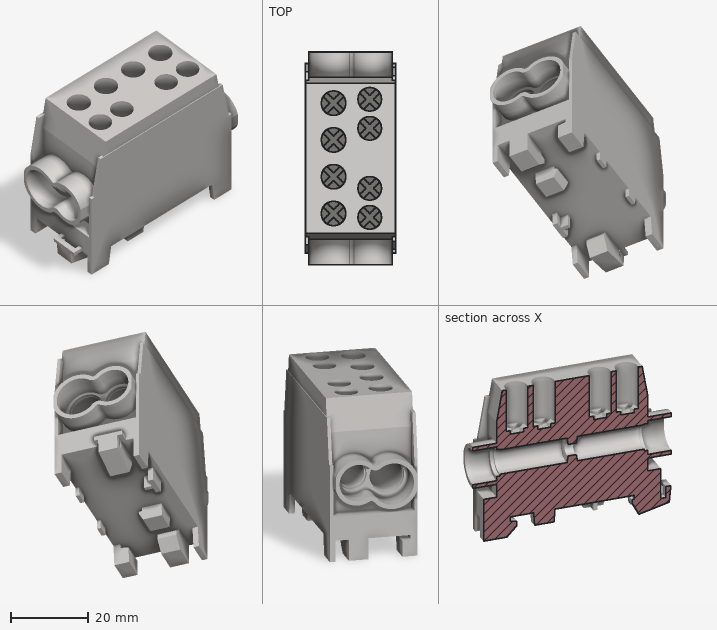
import cadquery as cq
import math

WIDTH = 23.4
HEIGHT = 42.85
LENGTH = 49.0
SLEEVE_LENGTH = 55.0
PLATE_T = 0.9
INNER_HALF = WIDTH / 2 - PLATE_T
END_Y = LENGTH / 2
TILT = math.radians(10)
BELLY_Z = 5.7

COVER_WIDTH = 23.0
CORE_Y = 20.95
CORE_BEND_Z = 34.0
CORE_TOP_Y = CORE_Y - (HEIGHT - CORE_BEND_Z) * math.tan(TILT)
RECESS_FLOOR_Z = 12.25

PLATE_TOP_Z = 38.15
PLATE_BEND_Z = 26.15
PLATE_LEAN = (PLATE_TOP_Z - PLATE_BEND_Z) * math.tan(TILT)
LEDGE = 1.0

FOOT_TOP_Y = 17.65
FOOT_BOTTOM_Y = 18.4
LEFT_FOOT_X = -9.8
RIGHT_FOOT_X = 10.2
RIB_X = -7.6
RIB_OUTER_Z = 4.6
RIB_INNER_Z = 4.3

HOOK_ROOT_Y = 17.0
HOOK_NOSE_Y = 15.3
HOOK_TOE_Y = 18.1
HOOK_ROOT_Z = 4.6
HOOK_NOSE_TOP_Z = 4.2
HOOK_NOSE_BOTTOM_Z = 2.85

BIG_X = -4.38
SMALL_X = 4.97
BIG_SLEEVE_Z = 20.85
SMALL_SLEEVE_Z = 21.85
BIG_SLEEVE_R = 6.77
SMALL_SLEEVE_R = 6.1
SLEEVE_WALL = 1.2
SLEEVE_FILLET = 0.9
BIG_BORE_Z = 21.2
SMALL_BORE_Z = 22.2
BIG_BORE_R = 2.7
SMALL_BORE_R = 1.8
BIG_SOCKET_R = 4.45
SMALL_SOCKET_R = 3.57
BIG_MOUTH_R = 4.6
SMALL_MOUTH_R = 3.9
MOUTH_DROP = 0.15
MOUTH_DEPTH = 1.0
SOCKET_END_Y = 1.5
TIP_SLOPE = math.radians(10)

BIG_SCREW_PITCH = 9.5
BIG_SCREW_YS = [BIG_SCREW_PITCH * step for step in (-1.5, -0.5, 0.5, 1.5)]
SMALL_SCREW_YS = [-15.25, -7.75, 7.75, 15.25]
BIG_SCREW_R = 3.15
SMALL_SCREW_R = 3.05
SCREW_HOLE_DEPTH = 12.0
SLOT_WIDTH = 1.4
SLOT_DEPTH = 1.0

SNAP_ROOT_Z = 4.75
SNAP_NOSE_Z = 4.6
LATCH_X0 = 1.4
LATCH_X1 = 6.65
LATCH_TIP_Y = 16.5
LATCH_ROOT_Y = 17.1
HANDLE_X0 = 0.3
HANDLE_X1 = 8.0
HANDLE_Y = 27.35
HANDLE_FOOT_Y = 26.9
HANDLE_T = 1.5
HANDLE_TOP_Z = 6.8
HANDLE_FOOT_Z = 2.0
HANDLE_ARM_W = 1.1
LATCH_FLOOR_Z = 3.6

LUG_Y = 7.7
LUG_HALF = 3.0
LUG_Z = 2.05
LUG_TAPER = 0.25
TAB_HALF = 1.8
TAB_Z = 3.25
TAB_T = 1.0
TAB_TAPER = 0.15
BARB_X = 0.3
BARB_STEM_X = 1.2
BARB_NOSE_BOTTOM_Z = 4.1
GUIDE_X = 8.8
GUIDE_RIB_T = 1.1
GUIDE_RIB_Y = 7.35
OVERLAP = 0.5


def extrude_x(points, x0, x1):
    """Prism of a (Y, Z) outline between two X positions."""
    return cq.Workplane("YZ").workplane(offset=x0).polyline(points).close().extrude(x1 - x0)


def block(x0, x1, y0, y1, z0, z1):
    """Axis-aligned box between its limits."""
    return cq.Workplane("XY").box(x1 - x0, y1 - y0, z1 - z0, centered=False).translate((x0, y0, z0))


def mirror_points(points):
    """Close a +Y half outline with its -Y mirror image."""
    return points + [(-y, z) for y, z in reversed(points)]


def cylinder_y(x, z, radius, y0, y1):
    """Cylinder along Y."""
    return cq.Workplane("XZ", origin=(x, y0, z)).circle(radius).extrude(y0 - y1)


def core():
    """Body between the side plates, with its leaning top and the cover above the plates."""
    upper = mirror_points([(CORE_Y, BELLY_Z), (CORE_Y, CORE_BEND_Z), (CORE_TOP_Y, HEIGHT)])
    body = extrude_x(upper, -COVER_WIDTH / 2, COVER_WIDTH / 2)
    plate_gap = block(-INNER_HALF, INNER_HALF, -END_Y, END_Y, 0, PLATE_TOP_Z)
    cap_space = block(-WIDTH / 2, WIDTH / 2, -END_Y, END_Y, PLATE_TOP_Z, HEIGHT)
    body = body.intersect(plate_gap.union(cap_space))
    return body.union(block(-INNER_HALF, INNER_HALF, -END_Y, END_Y, BELLY_Z, RECESS_FLOOR_Z))


def side_plate(x0, x1, ledge):
    """Outer plate; a ledge sets its leaning edges back from the end faces."""
    outline = [(END_Y, BELLY_Z), (END_Y, PLATE_BEND_Z)]
    if ledge:
        outline.append((END_Y - ledge, PLATE_BEND_Z))
    outline.append((END_Y - ledge - PLATE_LEAN, PLATE_TOP_Z))
    return extrude_x(mirror_points(outline), x0, x1)


def foot(x0, x1, side):
    """Rail foot at one end; side is +1 for +Y and -1 for -Y."""
    outline = [
        (END_Y, 0),
        (END_Y, BELLY_Z + OVERLAP),
        (FOOT_TOP_Y, BELLY_Z + OVERLAP),
        (FOOT_TOP_Y, BELLY_Z),
        (FOOT_BOTTOM_Y, 0),
    ]
    return extrude_x([(side * y, z) for y, z in outline], x0, x1)


def foot_rib():
    """Low widening of the -X foot at the +Y end, with a slightly sloping top."""
    section = [(LEFT_FOOT_X, 0), (RIB_X, 0), (RIB_X, RIB_INNER_Z), (LEFT_FOOT_X, RIB_OUTER_Z)]
    bar = cq.Workplane("XZ").polyline(section).close().extrude(-END_Y)
    return foot(LEFT_FOOT_X, RIB_X, 1).intersect(bar)


def fillet_center(c1, r1, c2, r2, side):
    """Point at distance r1 from c1 and r2 from c2; side is +1 for the upper one, -1 for the lower."""
    dx = c2[0] - c1[0]
    dz = c2[1] - c1[1]
    span = math.hypot(dx, dz)
    along = (span ** 2 + r1 ** 2 - r2 ** 2) / (2 * span)
    across = side * math.sqrt(r1 ** 2 - along ** 2)
    x = c1[0] + (along * dx - across * dz) / span
    z = c1[1] + (along * dz + across * dx) / span
    return x, z


def toward(start, target, distance):
    """Point at a distance from start in the direction of target."""
    dx = target[0] - start[0]
    dz = target[1] - start[1]
    ratio = distance / math.hypot(dx, dz)
    return start[0] + dx * ratio, start[1] + dz * ratio


def eight_prism(inset, y0, y1):
    """Two overlapping circles joined by concave arcs, extruded along Y."""
    big = (BIG_X, BIG_SLEEVE_Z)
    small = (SMALL_X, SMALL_SLEEVE_Z)
    big_r = BIG_SLEEVE_R - inset
    small_r = SMALL_SLEEVE_R - inset
    blend = SLEEVE_FILLET + inset
    top = fillet_center(big, big_r + blend, small, small_r + blend, 1)
    bottom = fillet_center(big, big_r + blend, small, small_r + blend, -1)
    middle = toward(big, small, big_r)
    return (
        cq.Workplane("XZ", origin=(0, y0, 0))
        .moveTo(*toward(big, top, big_r))
        .threePointArc(toward(top, middle, blend), toward(small, top, small_r))
        .threePointArc(toward(small, big, -small_r), toward(small, bottom, small_r))
        .threePointArc(toward(bottom, middle, blend), toward(big, bottom, big_r))
        .threePointArc(toward(big, small, -big_r), toward(big, top, big_r))
        .close()
        .extrude(y0 - y1)
    )


def sleeve():
    """Entry sleeve at the -Y end, trimmed flat where it meets the side plates."""
    tip = -SLEEVE_LENGTH / 2
    shell = eight_prism(0, tip, -CORE_Y + OVERLAP)
    shell = shell.intersect(block(-INNER_HALF, INNER_HALF, tip, 0, 0, HEIGHT))
    return shell.cut(eight_prism(SLEEVE_WALL, tip, -CORE_Y))


def entry(x, bore_z, bore_r, socket_r, mouth_r, mouth_z):
    """Mouth and wire socket at the -Y end, with a shallow cone leading into the through bore."""
    mouth = cylinder_y(x, mouth_z, mouth_r, -CORE_Y, -CORE_Y + MOUTH_DEPTH)
    socket = cylinder_y(x, bore_z, socket_r, -CORE_Y, -SOCKET_END_Y)
    cone = (
        cq.Workplane("XZ", origin=(x, -SOCKET_END_Y, bore_z))
        .circle(socket_r)
        .workplane(offset=-(socket_r - bore_r) * math.tan(TIP_SLOPE))
        .circle(bore_r)
        .loft()
    )
    bore = cylinder_y(x, bore_z, bore_r, -SOCKET_END_Y, 0)
    return mouth.union(socket).union(cone).union(bore)


def screw_hole(x, y, radius):
    """Access hole with the cross slot of the screw head at its bottom."""
    floor_z = HEIGHT - SCREW_HOLE_DEPTH
    shaft = cq.Workplane("XY", origin=(x, y, floor_z)).circle(radius).extrude(SCREW_HOLE_DEPTH)
    head = cq.Workplane("XY", origin=(x, y, floor_z - SLOT_DEPTH)).circle(radius).extrude(SLOT_DEPTH)
    for angle in (45, -45):
        slot = (
            cq.Workplane("XY", origin=(x, y, floor_z - SLOT_DEPTH))
            .transformed(rotate=(0, 0, angle))
            .rect(2 * radius, SLOT_WIDTH)
            .extrude(SLOT_DEPTH)
        )
        shaft = shaft.union(slot.intersect(head))
    return shaft


def fixed_hook():
    """Rigid rail hook at the +Y end."""
    outline = [
        (END_Y, BELLY_Z + OVERLAP),
        (HOOK_ROOT_Y, BELLY_Z + OVERLAP),
        (HOOK_ROOT_Y, HOOK_ROOT_Z),
        (HOOK_NOSE_Y, HOOK_NOSE_TOP_Z),
        (HOOK_NOSE_Y, HOOK_NOSE_BOTTOM_Z),
        (HOOK_TOE_Y, 0),
        (END_Y, 0),
    ]
    return extrude_x(outline, LATCH_X0, LATCH_X1)


def latch():
    """Rail latch at the -Y end with its wedge-shaped bottom and upright front."""
    outline = [
        (-LATCH_ROOT_Y, BELLY_Z + OVERLAP),
        (-LATCH_ROOT_Y, SNAP_ROOT_Z),
        (-LATCH_TIP_Y, SNAP_NOSE_Z),
        (-LATCH_TIP_Y, LATCH_FLOOR_Z),
        (-FOOT_BOTTOM_Y, 0),
        (-HANDLE_FOOT_Y, HANDLE_FOOT_Z),
        (-HANDLE_Y, HANDLE_TOP_Z),
        (-HANDLE_Y + HANDLE_T, HANDLE_TOP_Z),
        (-HANDLE_Y + HANDLE_T, LATCH_FLOOR_Z),
        (-END_Y, LATCH_FLOOR_Z),
        (-END_Y, BELLY_Z + OVERLAP),
    ]
    return extrude_x(outline, LATCH_X0, LATCH_X1)


def handle():
    """Bar across the latch front, tied to the end wall by an arm at each end."""
    front_slope = (HANDLE_Y - HANDLE_FOOT_Y) / (HANDLE_TOP_Z - HANDLE_FOOT_Z)
    back_y = -HANDLE_Y + HANDLE_T
    outline = [
        (-HANDLE_Y, HANDLE_TOP_Z),
        (back_y, HANDLE_TOP_Z),
        (back_y, BELLY_Z),
        (-HANDLE_Y + front_slope * (HANDLE_TOP_Z - BELLY_Z), BELLY_Z),
    ]
    bar = extrude_x(outline, HANDLE_X0, HANDLE_X1)
    arm_start_y = back_y - OVERLAP
    for x in (HANDLE_X0, HANDLE_X1 - HANDLE_ARM_W):
        bar = bar.union(block(x, x + HANDLE_ARM_W, arm_start_y, -END_Y + OVERLAP, BELLY_Z, HANDLE_TOP_Z))
    return bar


def lug(x0, x1, y, half, taper, bottom_z):
    """Block hanging from the belly, narrowing downwards along Y."""
    outline = [
        (y - half, BELLY_Z + OVERLAP),
        (y - half, BELLY_Z),
        (y - half + taper, bottom_z),
        (y + half - taper, bottom_z),
        (y + half, BELLY_Z),
        (y + half, BELLY_Z + OVERLAP),
    ]
    return extrude_x(outline, x0, x1)


def barbed_lug():
    """Lug on the +Y side with a snap barb pointing to -X."""
    section = [
        (LATCH_X1, BELLY_Z + OVERLAP),
        (BARB_STEM_X, BELLY_Z + OVERLAP),
        (BARB_STEM_X, SNAP_ROOT_Z),
        (BARB_X, SNAP_NOSE_Z),
        (BARB_X, BARB_NOSE_BOTTOM_Z),
        (LATCH_X0, LUG_Z),
        (LATCH_X1, LUG_Z),
    ]
    profile = cq.Workplane("XZ").polyline(section).close().extrude(-END_Y)
    return lug(BARB_X, LATCH_X1, LUG_Y, LUG_HALF, LUG_TAPER, LUG_Z).intersect(profile)


def guide_lug():
    """Lug on the -Y side with a narrow rib on its -X face."""
    web = lug(GUIDE_X, RIGHT_FOOT_X, -LUG_Y, LUG_HALF, LUG_TAPER, LUG_Z)
    rib_y = -GUIDE_RIB_Y - GUIDE_RIB_T / 2
    rib = block(LATCH_X1, GUIDE_X, rib_y, rib_y + GUIDE_RIB_T, LUG_Z, BELLY_Z + OVERLAP)
    return web.union(rib)


def build():
    half = WIDTH / 2
    part = core()
    part = part.union(side_plate(-half, -INNER_HALF, 0))
    part = part.union(side_plate(INNER_HALF, half, LEDGE))
    for side in (-1, 1):
        part = part.union(foot(-half, LEFT_FOOT_X, side))
        part = part.union(foot(RIGHT_FOOT_X, half, side))
        part = part.union(lug(-half, -half + TAB_T, side * LUG_Y, TAB_HALF, TAB_TAPER, TAB_Z))
    part = part.union(foot_rib())
    part = part.union(fixed_hook()).union(latch()).union(handle())
    part = part.union(barbed_lug()).union(guide_lug())

    entry_sleeve = sleeve()
    part = part.union(entry_sleeve).union(entry_sleeve.mirror("XZ"))
    small_mouth_z = SMALL_BORE_Z - MOUTH_DROP
    entries = [
        entry(BIG_X, BIG_BORE_Z, BIG_BORE_R, BIG_SOCKET_R, BIG_MOUTH_R, BIG_BORE_Z),
        entry(SMALL_X, SMALL_BORE_Z, SMALL_BORE_R, SMALL_SOCKET_R, SMALL_MOUTH_R, small_mouth_z),
    ]
    for cutter in entries:
        part = part.cut(cutter).cut(cutter.mirror("XZ"))

    for y in BIG_SCREW_YS:
        part = part.cut(screw_hole(BIG_X, y, BIG_SCREW_R))
    for y in SMALL_SCREW_YS:
        part = part.cut(screw_hole(SMALL_X, y, SMALL_SCREW_R))
    return part


result = build()